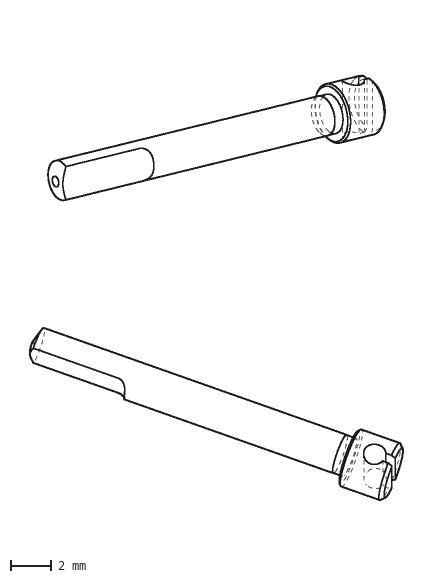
import cadquery as cq
import math

overall_length = 19.18

head_radius = 1.5
head_length = 2.35
head_end_chamfer = 0.2
head_underside_chamfer = 0.1

cross_hole_diameter = 1.1
cross_hole_from_end = 1.0
slot_width = 0.45

shank_radius = 1.01
neck_radius = 1.0
neck_length = 0.5

tip_flat_radius = 0.27
tip_slope = math.radians(20)
tip_length = (shank_radius - tip_flat_radius) * math.tan(tip_slope)

flat_offset = 0.5
flat_length = 5.0
flat_runout_radius = shank_radius - flat_offset

head_end_y = head_length
tip_y = head_end_y - overall_length
tip_base_y = tip_y + tip_length
cutter_depth = 4 * head_radius


def make_turned_body():
    """Revolve the half profile of head, neck, shank and tip about the Y axis."""
    return (
        cq.Workplane("YZ")
        .moveTo(head_end_y, 0)
        .lineTo(head_end_y, head_radius - head_end_chamfer)
        .lineTo(head_end_y - head_end_chamfer, head_radius)
        .lineTo(head_underside_chamfer, head_radius)
        .lineTo(0, head_radius - head_underside_chamfer)
        .lineTo(0, neck_radius)
        .lineTo(-neck_length, neck_radius)
        .lineTo(-neck_length, shank_radius)
        .lineTo(tip_base_y, shank_radius)
        .lineTo(tip_y, tip_flat_radius)
        .lineTo(tip_y, 0)
        .close()
        .revolve(360, (0, 0, 0), (1, 0, 0))
    )


def make_keyhole_cutter():
    """Cross hole along Z plus the slot from the hole to the head end."""
    hole_y = head_end_y - cross_hole_from_end
    hole = (
        cq.Workplane("XY")
        .center(0, hole_y)
        .circle(cross_hole_diameter / 2)
        .extrude(cutter_depth / 2, both=True)
    )
    slot = (
        cq.Workplane("XY")
        .center(0, hole_y + cross_hole_from_end / 2)
        .rect(slot_width, cross_hole_from_end)
        .extrude(cutter_depth / 2, both=True)
    )
    return hole.union(slot)


def make_flat_cutter():
    """Cut the shank back to the flat, with a concave quarter round at its inner end."""
    inner_end_y = tip_base_y + flat_length
    runout_start_y = inner_end_y - flat_runout_radius
    arc_step = flat_runout_radius * math.sqrt(0.5)
    arc_middle = (shank_radius - arc_step, runout_start_y + arc_step)
    return (
        cq.Workplane("XY")
        .moveTo(flat_offset, tip_y)
        .lineTo(flat_offset, runout_start_y)
        .threePointArc(arc_middle, (shank_radius, inner_end_y))
        .lineTo(head_radius, inner_end_y)
        .lineTo(head_radius, tip_y)
        .close()
        .extrude(cutter_depth / 2, both=True)
    )


result = make_turned_body().cut(make_keyhole_cutter()).cut(make_flat_cutter())